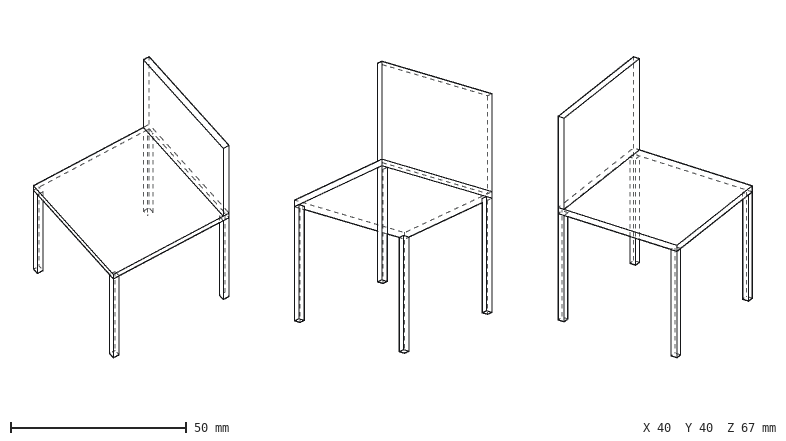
import cadquery as cq

total_height = 67.0
seat_side = 40.0
board_thickness = 2.0
leg_side = 2.0
leg_height = 35.0

seat_top = leg_height + board_thickness
backrest_height = total_height - seat_top
half_seat = seat_side / 2
leg_offset = half_seat - leg_side / 2


def make_seat():
    """Square board resting on the four legs."""
    return (
        cq.Workplane("XY")
        .box(seat_side, seat_side, board_thickness, centered=(True, True, False))
        .translate((0, 0, leg_height))
    )


def make_backrest():
    """Upright board standing on the seat, flush with its rear edge."""
    return (
        cq.Workplane("XY")
        .box(seat_side, board_thickness, backrest_height, centered=(True, True, False))
        .translate((0, half_seat - board_thickness / 2, seat_top))
    )


def make_leg(x, y):
    """Square leg centred on (x, y), reaching the underside of the seat."""
    return (
        cq.Workplane("XY")
        .box(leg_side, leg_side, leg_height, centered=(True, True, False))
        .translate((x, y, 0))
    )


seat = make_seat()
backrest = make_backrest()

legs = [
    make_leg(x, y)
    for x in (-leg_offset, leg_offset)
    for y in (-leg_offset, leg_offset)
]

result = cq.Compound.makeCompound(
    [seat.val(), backrest.val(), *[leg.val() for leg in legs]]
)